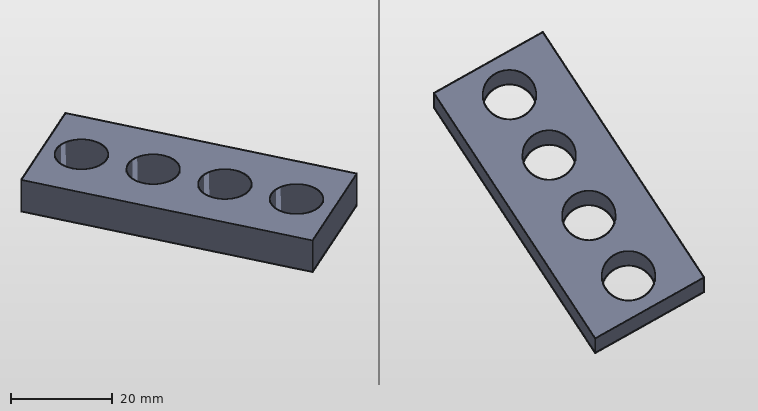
import cadquery as cq

length = 61.0
width = 25.0
thickness = 7.5

hole_count = 4
hole_diameter = 10.5
hole_pitch = 15.0

plate = cq.Workplane("XY").box(length, width, thickness)

result = (
    plate.faces(">Z")
    .workplane()
    .rarray(hole_pitch, width, hole_count, 1)
    .hole(hole_diameter)
)